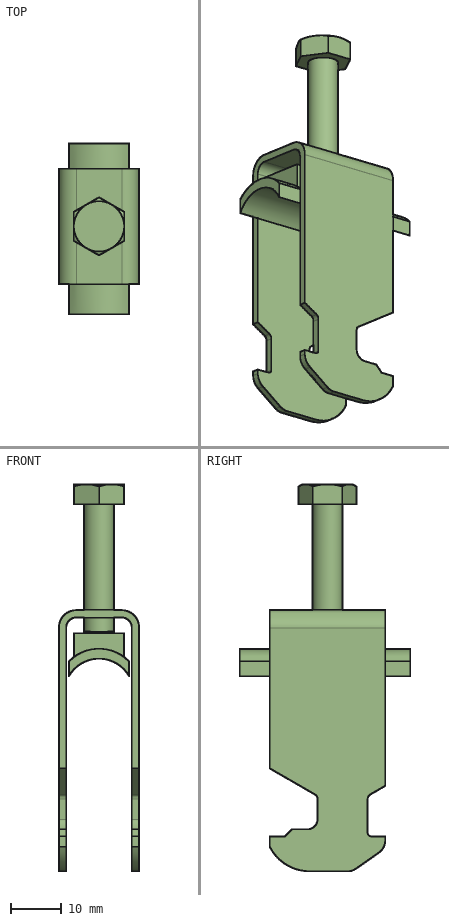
import cadquery as cq
import math


bracket_width = 16.0
bracket_length = 23.0
bracket_height = 52.0
sheet_thickness = 1.5
bend_outer_radius = 3.5
bend_inner_radius = bend_outer_radius - sheet_thickness

half_length = bracket_length / 2
shoulder_angle = 30.0
neck_back_y = 8.0
neck_front_y = -2.0
neck_top_z = 15.0
neck_top_radius = 1.0
neck_back_radius = 0.7
neck_front_radius = 2.0
hook_top_z = 7.0
step_height = 1.4
step_end_y = -7.1
heel_angle = 35.0
heel_bottom_y = 4.9
heel_corner_radius = 3.0
toe_radius = 9.0
toe_start_y = -3.5

thread_diameter = 6.0
head_across_flats = 10.0
head_height = 4.0
bolt_top_z = 77.0
head_chamfer_angle = 30.0
thread_end_z = 47.7
tip_diameter = 3.6

saddle_width = 12.0
saddle_front_y = -17.5
saddle_back_y = 16.5
saddle_crest_z = 44.3
saddle_thickness = 2.0
saddle_outer_radius = 8.4
saddle_inner_radius = 6.9
block_width = 10.0
block_length = 22.0
block_top_z = 47.4


def slope(angle):
    return math.tan(math.radians(angle))


def make_channel():
    """Upside-down U of bent sheet, running the full bracket length along Y."""
    inner_width = bracket_width - 2 * sheet_thickness
    inner_height = bracket_height - sheet_thickness
    outer = (
        cq.Workplane("XY")
        .box(bracket_width, bracket_length, bracket_height, centered=(True, True, False))
        .edges("|Y and >Z")
        .fillet(bend_outer_radius)
    )
    inner = (
        cq.Workplane("XY")
        .box(inner_width, bracket_length, inner_height, centered=(True, True, False))
        .edges("|Y and >Z")
        .fillet(bend_inner_radius)
    )
    return outer.cut(inner)


def make_side_outline():
    """Side profile of the legs, extruded across the whole bracket width."""
    back_shoulder_z = neck_top_z + (half_length - neck_back_y) * slope(shoulder_angle)
    front_shoulder_z = neck_top_z + (half_length + neck_front_y) * slope(shoulder_angle)
    step_top_z = hook_top_z + step_height
    heel_top_z = (half_length - heel_bottom_y) * slope(heel_angle)

    toe_run = half_length + toe_start_y
    toe_end_angle = math.asin(toe_run / toe_radius)
    toe_end_z = toe_radius * (1 - math.cos(toe_end_angle))
    toe_middle_y = toe_start_y - toe_radius * math.sin(toe_end_angle / 2)
    toe_middle_z = toe_radius * (1 - math.cos(toe_end_angle / 2))

    profile = (
        cq.Workplane("YZ")
        .moveTo(half_length, bracket_height)
        .lineTo(half_length, back_shoulder_z)
        .lineTo(neck_back_y, neck_top_z)
        .lineTo(neck_back_y, hook_top_z)
        .lineTo(half_length, hook_top_z)
        .lineTo(half_length, heel_top_z)
        .lineTo(heel_bottom_y, 0)
        .lineTo(toe_start_y, 0)
        .threePointArc((toe_middle_y, toe_middle_z), (-half_length, toe_end_z))
        .lineTo(-half_length, hook_top_z)
        .lineTo(step_end_y - step_height, hook_top_z)
        .lineTo(step_end_y, step_top_z)
        .lineTo(neck_front_y, step_top_z)
        .lineTo(neck_front_y, neck_top_z)
        .lineTo(-half_length, front_shoulder_z)
        .lineTo(-half_length, bracket_height)
        .close()
        .extrude(bracket_width / 2, both=True)
    )
    rounded_corners = [
        (neck_back_y, neck_top_z, neck_top_radius),
        (neck_front_y, neck_top_z, neck_top_radius),
        (neck_back_y, hook_top_z, neck_back_radius),
        (neck_front_y, step_top_z, neck_front_radius),
        (half_length, heel_top_z, heel_corner_radius),
        (heel_bottom_y, 0, heel_corner_radius),
    ]
    for y, z, radius in rounded_corners:
        corner = cq.selectors.NearestToPointSelector((0, y, z))
        profile = profile.edges("|X").edges(corner).fillet(radius)
    return profile


def make_bracket():
    bolt_hole = (
        cq.Workplane("XY", origin=(0, 0, bracket_height - sheet_thickness))
        .circle(thread_diameter / 2)
        .extrude(sheet_thickness)
    )
    return make_channel().intersect(make_side_outline()).cut(bolt_hole)


def make_bolt_head():
    """Hexagon head with corners along Y, its top corners turned down by a cone."""
    head_base_z = bolt_top_z - head_height
    across_corners = head_across_flats / math.cos(math.radians(30))
    hexagon = (
        cq.Workplane("XY", origin=(0, 0, head_base_z))
        .transformed(rotate=(0, 0, 90))
        .polygon(6, across_corners)
        .extrude(head_height)
    )
    cone_top_radius = head_across_flats / 2
    cone_base_radius = cone_top_radius + head_height / slope(head_chamfer_angle)
    cone = (
        cq.Workplane("XZ")
        .moveTo(0, head_base_z)
        .lineTo(cone_base_radius, head_base_z)
        .lineTo(cone_top_radius, bolt_top_z)
        .lineTo(0, bolt_top_z)
        .close()
        .revolve(360, (0, 0), (0, 1))
    )
    return hexagon.intersect(cone)


def make_bolt():
    """Bolt whose narrow tip rests on top of the pressure pad."""
    shank = (
        cq.Workplane("XY", origin=(0, 0, thread_end_z))
        .circle(thread_diameter / 2)
        .extrude(bolt_top_z - head_height - thread_end_z)
    )
    tip = (
        cq.Workplane("XY", origin=(0, 0, block_top_z))
        .circle(tip_diameter / 2)
        .extrude(thread_end_z - block_top_z)
    )
    return make_bolt_head().union(shank).union(tip)


def make_pad():
    """Curved saddle with a flat-topped block that takes the bolt thrust."""
    saddle_length = saddle_back_y - saddle_front_y
    half_width = saddle_width / 2
    outer_drop = saddle_outer_radius - math.sqrt(saddle_outer_radius**2 - half_width**2)
    inner_drop = saddle_inner_radius - math.sqrt(saddle_inner_radius**2 - half_width**2)
    inner_crest_z = saddle_crest_z - saddle_thickness
    outer_edge_z = saddle_crest_z - outer_drop
    inner_edge_z = inner_crest_z - inner_drop
    saddle = (
        cq.Workplane("XZ", origin=(0, saddle_back_y, 0))
        .moveTo(-half_width, outer_edge_z)
        .threePointArc((0, saddle_crest_z), (half_width, outer_edge_z))
        .lineTo(half_width, inner_edge_z)
        .threePointArc((0, inner_crest_z), (-half_width, inner_edge_z))
        .close()
        .extrude(saddle_length)
    )
    half_block = block_width / 2
    block_drop = saddle_outer_radius - math.sqrt(saddle_outer_radius**2 - half_block**2)
    block_edge_z = saddle_crest_z - block_drop
    block = (
        cq.Workplane("XZ", origin=(0, block_length / 2, 0))
        .moveTo(-half_block, block_edge_z)
        .threePointArc((0, saddle_crest_z), (half_block, block_edge_z))
        .lineTo(half_block, block_top_z)
        .lineTo(-half_block, block_top_z)
        .close()
        .extrude(block_length)
    )
    return saddle.union(block)


bracket = make_bracket()
bolt = make_bolt()
pad = make_pad()

result = cq.Compound.makeCompound([bracket.val(), bolt.val(), pad.val()])